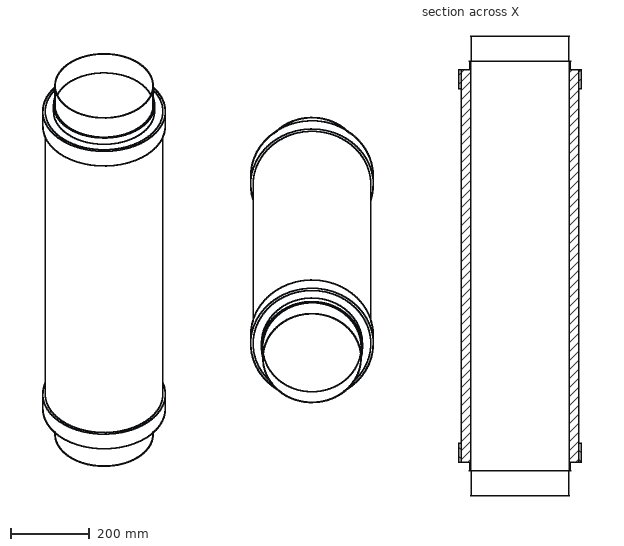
import cadquery as cq

LENGTH = 1170.0
HALF_LENGTH = LENGTH / 2

SPIGOT_RADIUS = 125.0
NECK_RADIUS = 129.0
SHELL_RADIUS = 150.0
COLLAR_RADIUS = 156.2

SPIGOT_WALL = 0.7
BORE_RADIUS = SPIGOT_RADIUS - SPIGOT_WALL

SPIGOT_LENGTH = 64.0
NECK_LENGTH = 21.0
COLLAR_HEIGHT = 49.0
SPIGOT_BASE = HALF_LENGTH - SPIGOT_LENGTH
SHELL_END = SPIGOT_BASE - NECK_LENGTH


def centred_cylinder(radius, half_height):
    """Cylinder on the Z axis, symmetric about the origin."""
    return cq.Workplane("XY", origin=(0, 0, -half_height)).circle(radius).extrude(2 * half_height)


def make_duct():
    """Straight-bored duct with a stepped neck and a thin spigot at both ends."""
    outside = (
        centred_cylinder(SHELL_RADIUS, SHELL_END)
        .union(centred_cylinder(NECK_RADIUS, SPIGOT_BASE))
        .union(centred_cylinder(SPIGOT_RADIUS, HALF_LENGTH))
    )
    bore = centred_cylinder(BORE_RADIUS, HALF_LENGTH)
    return outside.cut(bore)


def make_collar(base_height):
    """Ring around the shell, starting at the given height."""
    return (
        cq.Workplane("XY", origin=(0, 0, base_height))
        .circle(COLLAR_RADIUS)
        .circle(SHELL_RADIUS)
        .extrude(COLLAR_HEIGHT)
    )


duct = make_duct()

collar_bases = [-SHELL_END, SHELL_END - COLLAR_HEIGHT]
collars = [make_collar(base_height).val() for base_height in collar_bases]

result = cq.Compound.makeCompound([duct.val(), *collars])